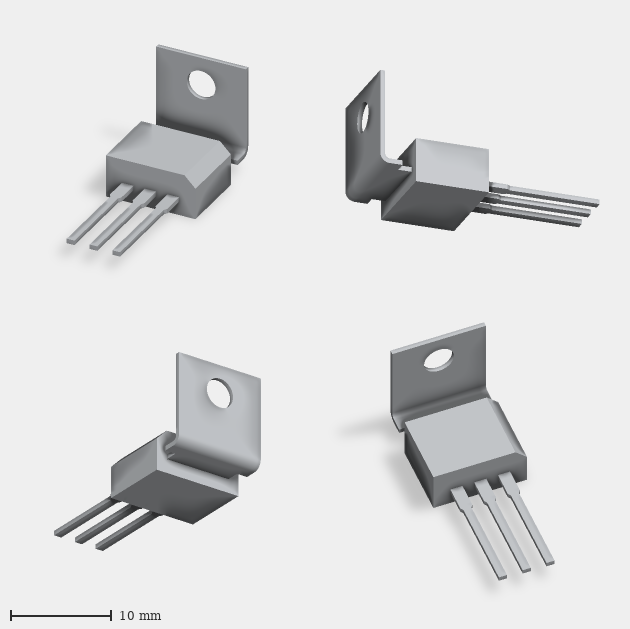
import cadquery as cq

body_width = 10.0
body_depth = 7.73
body_height = 4.7
corner_chamfer = 1.22

sheet_thickness = 0.5
sheet_bottom = 1.54
sheet_top = sheet_bottom + sheet_thickness

overall_length = 24.0
overall_height = 11.55
lead_length = 12.48
tab_back = overall_length - lead_length
bend_inner_radius = 0.5
bend_outer_radius = bend_inner_radius + sheet_thickness
notch_width = 1.22
notch_length = 1.45
hole_diameter = 3.2
hole_height = 8.45

lead_count = 3
lead_pitch = 2.55
lead_wide = 1.3
lead_narrow = 0.86
taper_start = 2.65
taper_end = 2.95


def make_body():
    """Rectangular block with its upper +X edge chamfered."""
    block = cq.Workplane("XY").box(
        body_width, body_depth, body_height, centered=(True, False, False)
    )
    return block.edges(">X and >Z").chamfer(corner_chamfer)


def make_tab():
    """L-shaped strip rising behind the body, with a hole and side notches."""
    strip = (
        cq.Workplane("YZ")
        .moveTo(body_depth, sheet_bottom)
        .lineTo(tab_back - bend_outer_radius, sheet_bottom)
        .radiusArc((tab_back, sheet_bottom + bend_outer_radius), -bend_outer_radius)
        .lineTo(tab_back, overall_height)
        .lineTo(tab_back - sheet_thickness, overall_height)
        .lineTo(tab_back - sheet_thickness, sheet_top + bend_inner_radius)
        .radiusArc((tab_back - bend_outer_radius, sheet_top), bend_inner_radius)
        .lineTo(body_depth, sheet_top)
        .close()
        .extrude(body_width / 2, both=True)
    )
    hole = (
        cq.Workplane("XZ", origin=(0, tab_back, hole_height))
        .circle(hole_diameter / 2)
        .extrude(sheet_thickness)
    )
    notches = (
        cq.Workplane("XY", origin=(0, body_depth + notch_length / 2, sheet_bottom))
        .pushPoints([(-body_width / 2, 0), (body_width / 2, 0)])
        .rect(2 * notch_width, notch_length)
        .extrude(sheet_thickness)
    )
    return strip.cut(hole).cut(notches)


def make_lead(x_center):
    """Flat lead running from the body front toward -Y."""
    return (
        cq.Workplane("XY", origin=(x_center, 0, sheet_bottom))
        .moveTo(-lead_wide / 2, 0)
        .lineTo(-lead_wide / 2, -taper_start)
        .lineTo(-lead_narrow / 2, -taper_end)
        .lineTo(-lead_narrow / 2, -lead_length)
        .lineTo(lead_narrow / 2, -lead_length)
        .lineTo(lead_narrow / 2, -taper_end)
        .lineTo(lead_wide / 2, -taper_start)
        .lineTo(lead_wide / 2, 0)
        .close()
        .extrude(sheet_thickness)
    )


result = make_body().union(make_tab())
for index in range(lead_count):
    lead_x = (index - (lead_count - 1) / 2) * lead_pitch
    result = result.union(make_lead(lead_x))